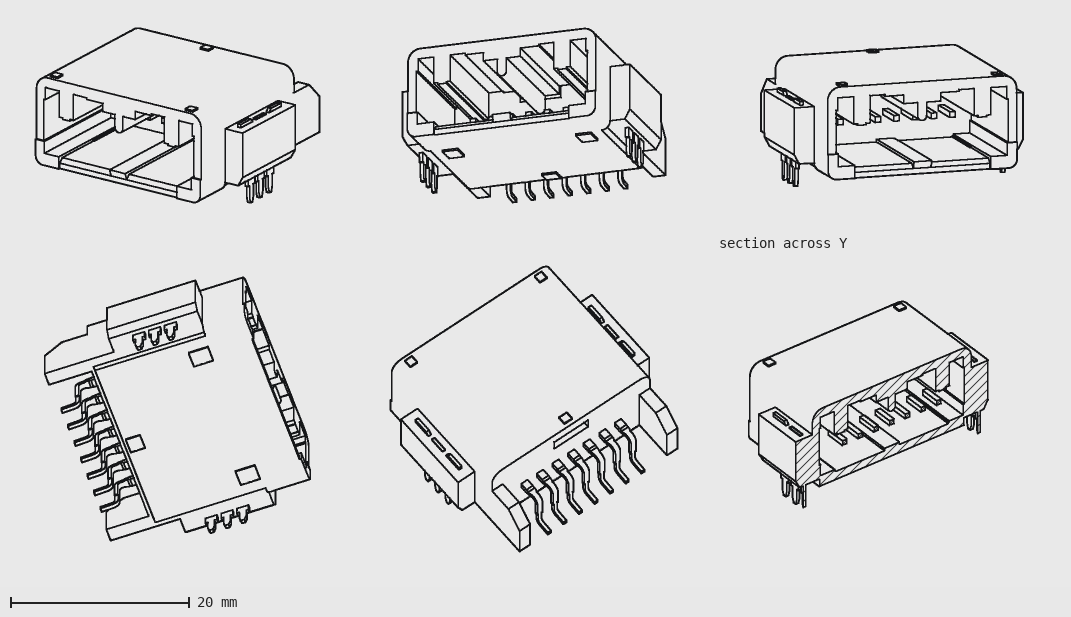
import cadquery as cq


SHELL_WIDTH = 22.3
SHELL_LENGTH = 18.45
SHELL_BOTTOM = 0.2
SHELL_TOP = 10.72
SHELL_TOP_RADIUS = 1.5
SHELL_BOTTOM_RADIUS = 1.0
SHELL_HALF = SHELL_WIDTH / 2
BASE_TOP = SHELL_BOTTOM + SHELL_BOTTOM_RADIUS
BASE_REAR_TAPER = 0.2
BASE_REAR = 18.05

CAVITY_DEPTH = 13.0
CAVITY_HALF = 9.95
CAVITY_WIDE_HALF = 10.15
CAVITY_TOP = 9.5
WIDE_BOTTOM = 3.1
WIDE_TOP = 8.05
LEDGE_TOP = 1.67
LEDGE_INNER = 8.0
FLOOR_TOP = 1.35
FLOOR_CHAMFER = 0.5
LEDGE_STEP_START = 6.6
LEDGE_STEP_WIDTH = 0.1
LEDGE_STEP_DROP = 0.17

SIDE_KEY_X = 7.12
SIDE_KEY_WIDTH = 1.96
SIDE_KEY_BOTTOM = 6.38
SIDE_KEY_TIP_WIDTH = 1.0
SIDE_KEY_TIP_BOTTOM = 6.2
CEILING_STEP_HALF = 4.37
CEILING_STEP_BOTTOM = 9.31
CENTRE_KEY_HALF = 2.2
CENTRE_KEY_BOTTOM = 8.33
STEM_RADIUS = 0.54
STEM_BOTTOM = 6.27
WINDOW_HALF = 2.4
WINDOW_BOTTOM = 7.93

LIP_THICKNESS = 0.2
RIB_WIDTH = 2.1
RIB_OVERHANG = 0.29

WING_WIDTH = 1.5
WING_REAR = 23.5
WING_TOP = 7.57
WING_CHAMFER = 2.05

FLAP_HALF_SPAN = 13.5
FLAP_FRONT = 4.77
FLAP_LENGTH = 10.5
FLAP_TOP = 7.65
FLAP_CHAMFER_WIDTH = 0.6
FLAP_CHAMFER_HEIGHT = 1.1
FLAP_MIDDLE = FLAP_FRONT + FLAP_LENGTH / 2

PLATE_X = 12.22
PLATE_THICKNESS = 0.4
PEG_PITCH = 1.87
PEG_SHOULDER_WIDTH = 1.38
PEG_SHOULDER_BOTTOM = 0.1
PEG_WIDTH = 0.8
PEG_TIP_WIDTH = 0.4
PEG_TAPER = 0.7
PEG_BOTTOM = -2.0
TAB_INNER = 1.6
TAB_OUTER = 4.0
TAB_HEIGHT = 0.4
MIDDLE_TAB_LENGTH = 2.0
MIDDLE_TAB_HEIGHT = 0.1

ROOF_PAD_HEIGHT = 0.18
FOOT_HEIGHT = 0.2
TOP_PAD_SIZE = 1.0
TOP_PAD_FRONT_Y = 1.0
TOP_PAD_REAR_Y = 17.45
TOP_PAD_REAR_WIDTH = 1.1
FOOT_FRONT_X = 7.9
FOOT_FRONT_WIDTH = 1.8
FOOT_FRONT_Y = 6.1
FOOT_FRONT_LENGTH = 2.3
FOOT_REAR_Y = 16.65
FOOT_REAR_SIZE = 1.7

CONTACT_COUNT = 7
CONTACT_PITCH = 2.2
PIN_SIZE = 0.64
PIN_Z = 4.77
PIN_FRONT = 9.0
TAIL_THICKNESS = 0.42
TAIL_RAMP_START = 19.44
TAIL_RAMP_END = 19.74
TAIL_OUTER_RADIUS = 0.78
TAIL_INNER_RADIUS = TAIL_OUTER_RADIUS - TAIL_THICKNESS
LEG_BACK = 21.34
SOLE_END = 23.05
SOLE_RISE = 0.1
TAIL_WIDTH = 0.9
LEG_WIDTH = 0.7
SOLE_WIDTH = 0.46
NARROW_START = 19.95
NARROW_END = 20.3
LEG_NARROW_Z = 2.0


def box(x0, x1, y0, y1, z0, z1):
    return cq.Workplane("XY").box(x1 - x0, y1 - y0, z1 - z0, centered=False).translate((x0, y0, z0))


def extrude_along_y(points, y0, y1):
    """Extrude an outline of (x, z) points from y0 to y1."""
    return cq.Workplane("XZ", origin=(0, y0, 0)).polyline(points).close().extrude(y0 - y1)


def extrude_along_x(points, x0, x1):
    """Extrude an outline of (y, z) points from x0 to x1."""
    return cq.Workplane("YZ", origin=(x0, 0, 0)).polyline(points).close().extrude(x1 - x0)


def both_sides(solid):
    return solid.union(solid.mirror("YZ"))


def rounded_body(y0, y1):
    """Block with the outside section of the shell."""
    body = box(-SHELL_HALF, SHELL_HALF, y0, y1, SHELL_BOTTOM, SHELL_TOP)
    body = body.edges("|Y and >Z").fillet(SHELL_TOP_RADIUS)
    return body.edges("|Y and <Z").fillet(SHELL_BOTTOM_RADIUS)


def shell_body():
    """Shell block: rounded underneath ahead of the flaps, a narrower base behind."""
    base_half = SHELL_HALF - SHELL_BOTTOM_RADIUS
    body = rounded_body(0, SHELL_LENGTH)
    side_relief = box(base_half, SHELL_HALF, FLAP_FRONT, SHELL_LENGTH, SHELL_BOTTOM, BASE_TOP)
    body = body.cut(both_sides(side_relief))
    rear_relief = [
        (BASE_REAR, BASE_TOP),
        (BASE_REAR - BASE_REAR_TAPER, SHELL_BOTTOM),
        (SHELL_LENGTH, SHELL_BOTTOM),
        (SHELL_LENGTH, BASE_TOP),
    ]
    return body.cut(extrude_along_x(rear_relief, -SHELL_HALF, SHELL_HALF))


def wings():
    outline = [
        (SHELL_LENGTH, BASE_TOP),
        (WING_REAR, BASE_TOP),
        (WING_REAR, WING_TOP - WING_CHAMFER),
        (WING_REAR - WING_CHAMFER, WING_TOP),
        (SHELL_LENGTH, WING_TOP),
    ]
    return both_sides(extrude_along_x(outline, SHELL_HALF - WING_WIDTH, SHELL_HALF))


def side_flaps():
    outline = [
        (SHELL_HALF, BASE_TOP),
        (FLAP_HALF_SPAN - FLAP_CHAMFER_WIDTH, BASE_TOP),
        (FLAP_HALF_SPAN, BASE_TOP + FLAP_CHAMFER_HEIGHT),
        (FLAP_HALF_SPAN, FLAP_TOP),
        (SHELL_HALF, FLAP_TOP),
    ]
    return both_sides(extrude_along_y(outline, FLAP_FRONT, FLAP_FRONT + FLAP_LENGTH))


def cavity():
    """Space of the mating cavity, with its side ledges and sloped floor edge."""
    space = box(-CAVITY_HALF, CAVITY_HALF, 0, CAVITY_DEPTH, LEDGE_TOP, CAVITY_TOP)
    space = space.union(box(-CAVITY_WIDE_HALF, CAVITY_WIDE_HALF, 0, CAVITY_DEPTH, WIDE_BOTTOM, WIDE_TOP))
    trough = [
        (0, FLOOR_TOP - FLOOR_CHAMFER),
        (FLOOR_CHAMFER, FLOOR_TOP),
        (CAVITY_DEPTH, FLOOR_TOP),
        (CAVITY_DEPTH, LEDGE_TOP),
        (0, LEDGE_TOP),
    ]
    space = space.union(extrude_along_x(trough, -LEDGE_INNER, LEDGE_INNER))
    ledge_step = box(
        LEDGE_INNER - LEDGE_STEP_WIDTH, LEDGE_INNER,
        LEDGE_STEP_START, CAVITY_DEPTH,
        FLOOR_TOP, LEDGE_TOP - LEDGE_STEP_DROP,
    )
    return space.cut(both_sides(ledge_step))


def keys():
    """Ceiling step, stepped side keys and the round-ended centre key."""
    def hanging_bar(x, half_width, bottom):
        return box(x - half_width, x + half_width, 0, CAVITY_DEPTH, bottom, CAVITY_TOP)

    side_key = hanging_bar(SIDE_KEY_X, SIDE_KEY_WIDTH / 2, SIDE_KEY_BOTTOM)
    side_key = side_key.union(hanging_bar(SIDE_KEY_X, SIDE_KEY_TIP_WIDTH / 2, SIDE_KEY_TIP_BOTTOM))
    stem_centre = STEM_BOTTOM + STEM_RADIUS
    stem_end = cq.Workplane("XZ").center(0, stem_centre).circle(STEM_RADIUS).extrude(-CAVITY_DEPTH)
    return (
        both_sides(side_key)
        .union(hanging_bar(0, CEILING_STEP_HALF, CEILING_STEP_BOTTOM))
        .union(hanging_bar(0, CENTRE_KEY_HALF, CENTRE_KEY_BOTTOM))
        .union(hanging_bar(0, STEM_RADIUS, stem_centre))
        .union(stem_end)
    )


def rear_window():
    """Opening through the rear wall behind the centre key."""
    return box(-WINDOW_HALF, WINDOW_HALF, CAVITY_DEPTH, SHELL_LENGTH, WINDOW_BOTTOM, CEILING_STEP_BOTTOM)


def floor_rib():
    """Centre rib on the cavity floor, its front undercut below the overhang."""
    outline = [
        (0, SHELL_BOTTOM),
        (0, FLOOR_TOP - FLOOR_CHAMFER),
        (-RIB_OVERHANG, LEDGE_TOP),
        (CAVITY_DEPTH, LEDGE_TOP),
        (CAVITY_DEPTH, SHELL_BOTTOM),
    ]
    return extrude_along_x(outline, -RIB_WIDTH / 2, RIB_WIDTH / 2)


def front_lips():
    """L-shaped pads on the lower corners of the mating face."""
    lip = rounded_body(-LIP_THICKNESS, 0)
    lip = lip.intersect(box(LEDGE_INNER, SHELL_HALF, -LIP_THICKNESS, 0, SHELL_BOTTOM, WIDE_BOTTOM))
    lip = lip.cut(box(LEDGE_INNER, CAVITY_HALF, -LIP_THICKNESS, 0, LEDGE_TOP, WIDE_BOTTOM))
    return both_sides(lip)


def pads():
    """Small pads on the roof and standoff feet under the base."""
    def pad(x, y, width, length, bottom, top):
        return box(x - width / 2, x + width / 2, y - length / 2, y + length / 2, bottom, top)

    top_x = SHELL_HALF - SHELL_TOP_RADIUS - TOP_PAD_SIZE / 2
    roof_span = (SHELL_TOP, SHELL_TOP + ROOF_PAD_HEIGHT)
    foot_span = (SHELL_BOTTOM - FOOT_HEIGHT, SHELL_BOTTOM)
    return (
        both_sides(pad(top_x, TOP_PAD_FRONT_Y, TOP_PAD_SIZE, TOP_PAD_SIZE, *roof_span))
        .union(pad(0, TOP_PAD_REAR_Y, TOP_PAD_REAR_WIDTH, TOP_PAD_SIZE, *roof_span))
        .union(both_sides(pad(FOOT_FRONT_X, FOOT_FRONT_Y, FOOT_FRONT_WIDTH, FOOT_FRONT_LENGTH, *foot_span)))
        .union(pad(0, FOOT_REAR_Y, FOOT_REAR_SIZE, FOOT_REAR_SIZE, *foot_span))
    )


def hold_downs():
    """Plate ends showing above each flap and the solder pegs below it."""
    x0 = PLATE_X - PLATE_THICKNESS / 2
    x1 = PLATE_X + PLATE_THICKNESS / 2
    plates = box(
        x0, x1,
        FLAP_MIDDLE - MIDDLE_TAB_LENGTH / 2, FLAP_MIDDLE + MIDDLE_TAB_LENGTH / 2,
        BASE_TOP, FLAP_TOP + MIDDLE_TAB_HEIGHT,
    )
    for side in (-1, 1):
        tab = [
            (FLAP_MIDDLE + side * TAB_INNER, BASE_TOP),
            (FLAP_MIDDLE + side * TAB_INNER, FLAP_TOP),
            (FLAP_MIDDLE + side * (TAB_INNER + TAB_HEIGHT), FLAP_TOP + TAB_HEIGHT),
            (FLAP_MIDDLE + side * TAB_OUTER, FLAP_TOP + TAB_HEIGHT),
            (FLAP_MIDDLE + side * TAB_OUTER, BASE_TOP),
        ]
        plates = plates.union(extrude_along_x(tab, x0, x1))
    right_half = [
        (PEG_SHOULDER_WIDTH / 2, BASE_TOP + FLAP_CHAMFER_HEIGHT),
        (PEG_SHOULDER_WIDTH / 2, PEG_SHOULDER_BOTTOM),
        (PEG_WIDTH / 2, PEG_SHOULDER_BOTTOM),
        (PEG_WIDTH / 2, PEG_BOTTOM + PEG_TAPER),
        (PEG_TIP_WIDTH / 2, PEG_BOTTOM),
    ]
    left_half = [(-y, z) for y, z in reversed(right_half)]
    peg = extrude_along_x(right_half + left_half, x0, x1)
    for step in (-1, 0, 1):
        plates = plates.union(peg.translate((0, FLAP_MIDDLE + step * PEG_PITCH, 0)))
    return both_sides(plates)


def contact():
    """One contact: square pin in the cavity, bent tail and solder sole behind."""
    half_pin = PIN_SIZE / 2
    pin = box(-half_pin, half_pin, PIN_FRONT, SHELL_LENGTH, PIN_Z - half_pin, PIN_Z + half_pin)

    half_tail = TAIL_THICKNESS / 2
    tail_top = PIN_Z + half_tail
    leg_front = LEG_BACK - TAIL_THICKNESS
    bend_y = LEG_BACK - TAIL_OUTER_RADIUS
    bend_z = tail_top - TAIL_OUTER_RADIUS
    sole_y = leg_front + TAIL_OUTER_RADIUS
    sole_z = SOLE_RISE + TAIL_OUTER_RADIUS
    profile = (
        cq.Workplane("YZ", origin=(-TAIL_WIDTH / 2, 0, 0))
        .moveTo(CAVITY_DEPTH, PIN_Z + half_pin)
        .lineTo(TAIL_RAMP_START, PIN_Z + half_pin)
        .lineTo(TAIL_RAMP_END, tail_top)
        .lineTo(bend_y, tail_top)
        .radiusArc((LEG_BACK, bend_z), TAIL_OUTER_RADIUS)
        .lineTo(LEG_BACK, sole_z)
        .radiusArc((sole_y, SOLE_RISE + TAIL_THICKNESS), -TAIL_INNER_RADIUS)
        .lineTo(SOLE_END, TAIL_THICKNESS)
        .lineTo(SOLE_END, 0)
        .lineTo(sole_y, SOLE_RISE)
        .radiusArc((leg_front, sole_z), TAIL_OUTER_RADIUS)
        .lineTo(leg_front, bend_z)
        .radiusArc((bend_y, tail_top - TAIL_THICKNESS), -TAIL_INNER_RADIUS)
        .lineTo(TAIL_RAMP_END, tail_top - TAIL_THICKNESS)
        .lineTo(TAIL_RAMP_START, PIN_Z - half_pin)
        .lineTo(CAVITY_DEPTH, PIN_Z - half_pin)
        .close()
        .extrude(TAIL_WIDTH)
    )
    plan_half = [
        (TAIL_WIDTH / 2, CAVITY_DEPTH),
        (TAIL_WIDTH / 2, NARROW_START),
        (LEG_WIDTH / 2, NARROW_END),
        (LEG_WIDTH / 2, LEG_BACK),
    ]
    plan = plan_half + [(-x, y) for x, y in reversed(plan_half)]
    contact_top = PIN_Z + half_pin
    upper = cq.Workplane("XY", origin=(0, 0, LEG_NARROW_Z)).polyline(plan).close()
    upper = upper.extrude(contact_top - LEG_NARROW_Z)
    lower = box(-SOLE_WIDTH / 2, SOLE_WIDTH / 2, leg_front, SOLE_END, 0, LEG_NARROW_Z)
    return pin.union(profile.intersect(upper.union(lower)))


def contact_row():
    single = contact()
    row_start = -CONTACT_PITCH * (CONTACT_COUNT - 1) / 2
    row = single.translate((row_start, 0, 0))
    for index in range(1, CONTACT_COUNT):
        row = row.union(single.translate((row_start + index * CONTACT_PITCH, 0, 0)))
    return row


result = (
    shell_body()
    .cut(cavity())
    .cut(rear_window())
    .union(keys())
    .union(floor_rib())
    .union(front_lips())
    .union(wings())
    .union(side_flaps())
    .union(hold_downs())
    .union(pads())
    .union(contact_row())
)